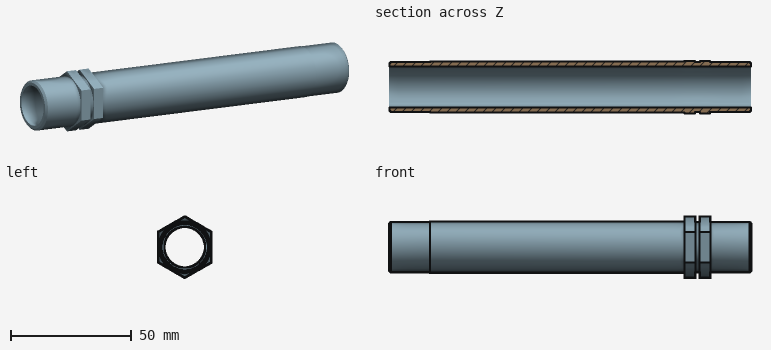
import cadquery as cq

length = 150.0
bore_diameter = 16.76
tube_diameter = 21.27
thread_diameter = 20.95
end_chamfer = 0.85
thread_length = 17.0

left_end_x = -length / 2
right_end_x = length / 2
tube_start_x = left_end_x + thread_length

hex_across_flats = 22.0
hex_thickness = 4.5
hex_gap = 1.75
hex_turn = 0.19
second_hex_x = right_end_x - thread_length - hex_thickness
first_hex_x = second_hex_x - hex_gap - hex_thickness


def cylinder(start_x, end_x, diameter):
    """Solid cylinder along the X axis."""
    return (
        cq.Workplane("YZ", origin=(start_x, 0, 0))
        .circle(diameter / 2)
        .extrude(end_x - start_x)
    )


def threaded_core():
    """Full-length core at thread diameter with both ends chamfered."""
    core = cylinder(left_end_x, right_end_x, thread_diameter)
    return core.faces("<X or >X").chamfer(end_chamfer)


def hexagon(start_x):
    """Hexagonal collar with two corners along Z."""
    return (
        cq.Workplane("YZ", origin=(start_x, 0, 0))
        .polygon(6, hex_across_flats, circumscribed=True)
        .extrude(hex_thickness)
        .rotate((0, 0, 0), (1, 0, 0), hex_turn)
    )


outer_body = threaded_core().union(cylinder(tube_start_x, first_hex_x, tube_diameter))
for hex_x in (first_hex_x, second_hex_x):
    outer_body = outer_body.union(hexagon(hex_x))

bore = cylinder(left_end_x, right_end_x, bore_diameter)
result = outer_body.cut(bore)